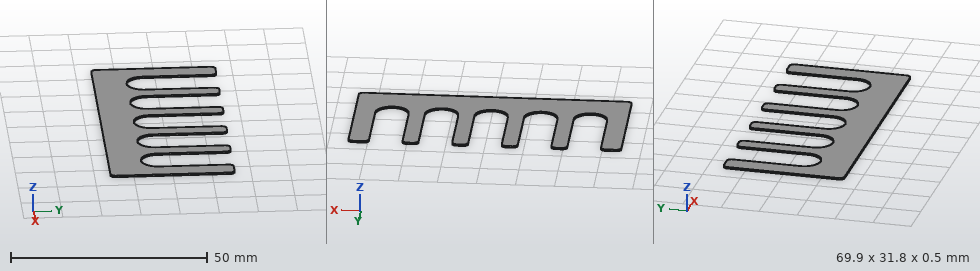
import cadquery as cq

length = 69.85
depth = 31.75
thickness = 0.5
corner_radius = 1.27

slot_count = 5
slot_pitch = 12.7
slot_width = 8.6
spine_depth = 8.4


def make_plate():
    """Flat rectangular plate centred on the origin in X and Y."""
    return cq.Workplane("XY").box(length, depth, thickness)


def make_slot(x_center):
    """Cutter for one slot: a round closed end running out through the back edge."""
    slot_radius = slot_width / 2
    x_left = x_center - slot_radius
    x_right = x_center + slot_radius
    y_closed_end = -depth / 2 + spine_depth
    y_arc_center = y_closed_end + slot_radius
    y_back = depth / 2
    return (
        cq.Workplane("XY", origin=(0, 0, -thickness / 2))
        .moveTo(x_left, y_back)
        .lineTo(x_left, y_arc_center)
        .threePointArc((x_center, y_closed_end), (x_right, y_arc_center))
        .lineTo(x_right, y_back)
        .close()
        .extrude(thickness)
    )


def cut_slots(plate):
    """Cut the evenly spaced row of slots, leaving the comb fingers."""
    for index in range(slot_count):
        x_center = (index - (slot_count - 1) / 2) * slot_pitch
        plate = plate.cut(make_slot(x_center))
    return plate


def round_corners(comb):
    """Round the finger tips and the two front corners of the plate."""
    tips = comb.faces(">Y").edges("|Z")
    comb = tips.fillet(corner_radius)
    return comb.faces("<Y").edges("|Z").fillet(corner_radius)


result = round_corners(cut_slots(make_plate()))